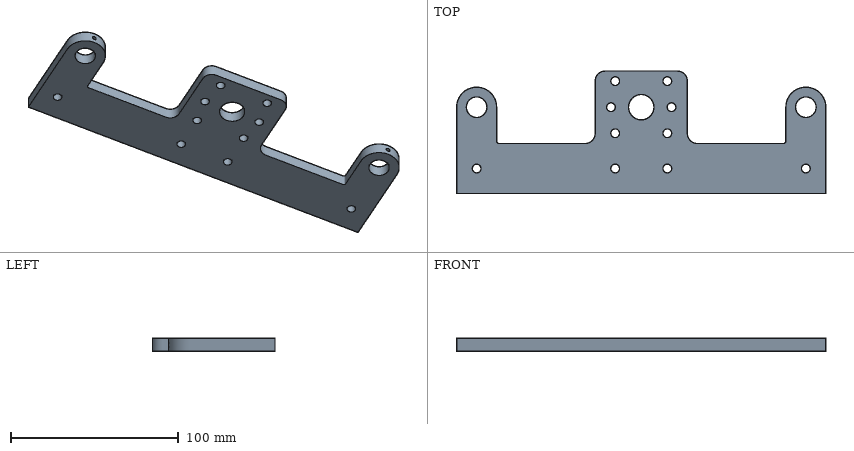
import cadquery as cq

length = 220.0
depth = 73.0
thickness = 8.0
half_length = length / 2

bar_depth = 30.0
lug_width = 24.0
lug_radius = lug_width / 2
lug_inner_x = half_length - lug_width
lug_center_x = half_length - lug_radius
pivot_y = 51.5
pad_width = 55.0
half_pad = pad_width / 2
pad_corner_radius = 6.0
pad_root_radius = 6.0
lug_root_radius = 1.2

lug_bore_diameter = 12.0
center_bore_diameter = 15.0
screw_diameter = 5.0
set_screw_diameter = 2.5
bar_screw_y = 15.0
screw_pitch = 31.0
screw_offset = screw_pitch / 2
side_screw_x = 18.0


def box_between(x_min, x_max, y_min, y_max):
    """Plate-thick block resting on Z = 0."""
    size_x = x_max - x_min
    size_y = y_max - y_min
    block = cq.Workplane("XY").box(size_x, size_y, thickness, centered=False)
    return block.translate((x_min, y_min, 0))


def make_lug(side):
    """Round-ended lug at the left (-1) or right (+1) end."""
    center_x = side * lug_center_x
    shank = box_between(center_x - lug_radius, center_x + lug_radius, 0, pivot_y)
    end = cq.Workplane("XY").center(center_x, pivot_y).circle(lug_radius).extrude(thickness)
    return shank.union(end)


def round_corners(plate, x, y, radius):
    """Fillet the mirrored pair of upright edges at +x and -x."""
    for side in (-1, 1):
        edge = cq.selectors.NearestToPointSelector((side * x, y, thickness / 2))
        plate = plate.edges("|Z").edges(edge).fillet(radius)
    return plate


def drill(plate, diameter, points):
    """Cut through holes at the given plan positions."""
    cutter = cq.Workplane("XY").pushPoints(points).circle(diameter / 2).extrude(thickness)
    return plate.cut(cutter)


def drill_set_screw(plate, x):
    """Cut a mid-thickness hole along +Y from the lug bore out through the lug tip."""
    start = cq.Vector(x, pivot_y, thickness / 2)
    direction = cq.Vector(0, 1, 0)
    cutter = cq.Solid.makeCylinder(set_screw_diameter / 2, lug_width, start, direction)
    return plate.cut(cq.Workplane(cutter))


plate = box_between(-half_length, half_length, 0, bar_depth)
plate = plate.union(box_between(-half_pad, half_pad, 0, depth))
for side in (-1, 1):
    plate = plate.union(make_lug(side))
plate = plate.clean()

plate = round_corners(plate, half_pad, depth, pad_corner_radius)
plate = round_corners(plate, half_pad, bar_depth, pad_root_radius)
plate = round_corners(plate, lug_inner_x, bar_depth, lug_root_radius)

plate = drill(plate, lug_bore_diameter, [(-lug_center_x, pivot_y), (lug_center_x, pivot_y)])
plate = drill(plate, center_bore_diameter, [(0, pivot_y)])

screw_pairs = [
    (lug_center_x, bar_screw_y),
    (screw_offset, bar_screw_y),
    (screw_offset, pivot_y - screw_offset),
    (side_screw_x, pivot_y),
    (screw_offset, pivot_y + screw_offset),
]
for x, y in screw_pairs:
    plate = drill(plate, screw_diameter, [(-x, y), (x, y)])

for side in (-1, 1):
    plate = drill_set_screw(plate, side * lug_center_x)

result = plate